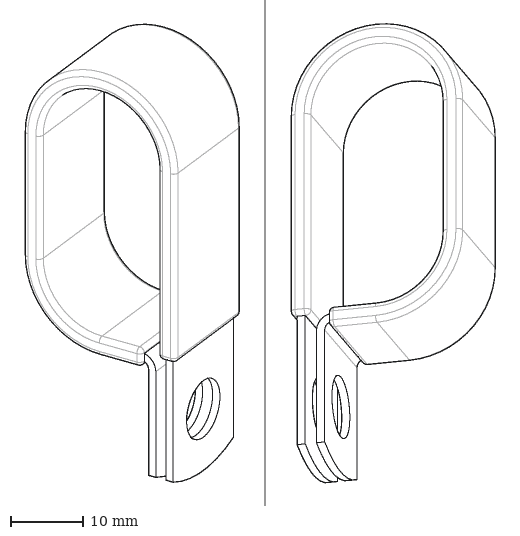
import cadquery as cq
import math

height = 62.25
loop_radius = 12.3
cushion_width = 17.4
strip_thickness = 1.2
cushion_cover = 0.8
side_cover = 0.75
edge_round = 0.75
loop_straight = 19.1
foot_end_x = 6.85
leg_end_z = 20.55
bend_inner_radius = 1.2
hole_diameter = 8.8
hole_z = 9.6
tip_rise = 1.7

cushion_thickness = strip_thickness + 2 * cushion_cover
inner_radius = loop_radius - cushion_thickness
strip_width = cushion_width - 2 * side_cover
upper_z = height - loop_radius
lower_z = upper_z - loop_straight
bottom_z = lower_z - loop_radius
strip_top_z = bottom_z + cushion_cover + strip_thickness
leg_strip_outer_x = loop_radius - cushion_cover
leg_strip_inner_x = leg_strip_outer_x - strip_thickness
tab_outer_x = leg_strip_outer_x - cushion_thickness
bend_outer_radius = bend_inner_radius + strip_thickness
bend_x = tab_outer_x - bend_outer_radius
bend_z = strip_top_z - bend_outer_radius
strip_overlap = 1.85
diagonal = math.sqrt(0.5)


def make_cushion():
    """Open loop with every outside edge rounded."""
    loop = (
        cq.Workplane("XZ")
        .moveTo(foot_end_x, bottom_z)
        .lineTo(0, bottom_z)
        .threePointArc(
            (-loop_radius * diagonal, lower_z - loop_radius * diagonal), (-loop_radius, lower_z)
        )
        .lineTo(-loop_radius, upper_z)
        .threePointArc((0, height), (loop_radius, upper_z))
        .lineTo(loop_radius, leg_end_z)
        .lineTo(inner_radius, leg_end_z)
        .lineTo(inner_radius, upper_z)
        .threePointArc((0, upper_z + inner_radius), (-inner_radius, upper_z))
        .lineTo(-inner_radius, lower_z)
        .threePointArc(
            (-inner_radius * diagonal, lower_z - inner_radius * diagonal), (0, lower_z - inner_radius)
        )
        .lineTo(foot_end_x, lower_z - inner_radius)
        .close()
        .extrude(cushion_width / 2, both=True)
    )
    side_edges = loop.faces("<Y or >Y").edges()
    end_corners = [
        (foot_end_x, 0, bottom_z),
        (foot_end_x, 0, bottom_z + cushion_thickness),
        (inner_radius, 0, leg_end_z),
        (loop_radius, 0, leg_end_z),
    ]
    for corner in end_corners:
        side_edges = side_edges.add(loop.edges("|Y").edges(cq.selectors.NearestToPointSelector(corner)))
    return side_edges.fillet(edge_round)


def make_strip_ends():
    """Straight tab and bent tab, with a shared tip curve and bolt hole."""
    straight_tab = (
        cq.Workplane("XZ")
        .moveTo(leg_strip_inner_x, 0)
        .lineTo(leg_strip_outer_x, 0)
        .lineTo(leg_strip_outer_x, leg_end_z + strip_overlap)
        .lineTo(leg_strip_inner_x, leg_end_z + strip_overlap)
        .close()
        .extrude(strip_width / 2, both=True)
    )
    bent_tab = (
        cq.Workplane("XZ")
        .moveTo(tab_outer_x, 0)
        .lineTo(tab_outer_x, bend_z)
        .threePointArc(
            (bend_x + bend_outer_radius * diagonal, bend_z + bend_outer_radius * diagonal),
            (bend_x, strip_top_z),
        )
        .lineTo(bend_x - strip_overlap, strip_top_z)
        .lineTo(bend_x - strip_overlap, strip_top_z - strip_thickness)
        .lineTo(bend_x, strip_top_z - strip_thickness)
        .threePointArc(
            (bend_x + bend_inner_radius * diagonal, bend_z + bend_inner_radius * diagonal),
            (bend_x + bend_inner_radius, bend_z),
        )
        .lineTo(bend_x + bend_inner_radius, 0)
        .close()
        .extrude(strip_width / 2, both=True)
    )
    outline = (
        cq.Workplane("YZ")
        .moveTo(-strip_width / 2, tip_rise)
        .threePointArc((0, 0), (strip_width / 2, tip_rise))
        .lineTo(strip_width / 2, height)
        .lineTo(-strip_width / 2, height)
        .close()
        .extrude(loop_radius)
    )
    hole = cq.Workplane("YZ").center(0, hole_z).circle(hole_diameter / 2).extrude(loop_radius)
    return straight_tab.union(bent_tab).intersect(outline).cut(hole)


result = make_cushion().union(make_strip_ends())